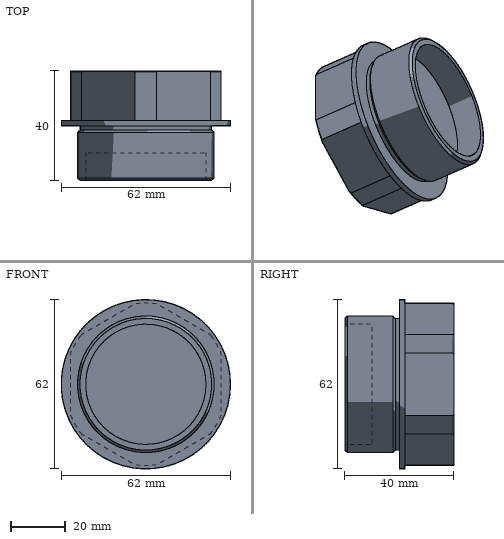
import cadquery as cq
import math


head_sides = 6
head_across_flats = 55.0
head_corner_diameter = 59.5
head_length = 18.0
head_corner_rounding = 0.5

flange_diameter = 62.0
flange_thickness = 2.0

spigot_diameter = 50.0
spigot_length = 20.0
neck_diameter = 48.16
neck_length = 1.5
bore_diameter = 44.0
bore_depth = 10.0

thread_depth = (spigot_diameter - neck_diameter) / 2


def revolve_profile(points):
    """Revolve a closed (radius, Y) outline around the Y axis."""
    return cq.Workplane("XY").polyline(points).close().revolve(360, (0, 0, 0), (0, 1, 0))


def make_head():
    """Hexagon with flats facing +X and -X and corners trimmed by a round-edged cylinder."""
    corner_radius = head_corner_diameter / 2
    hexagon_radius = head_across_flats / 2 / math.cos(math.pi / head_sides)
    vertices = []
    for index in range(head_sides):
        angle = math.pi / 2 + index * 2 * math.pi / head_sides
        vertices.append((hexagon_radius * math.cos(angle), hexagon_radius * math.sin(angle)))
    hexagon = (
        cq.Workplane("XZ", origin=(0, flange_thickness, 0))
        .polyline(vertices)
        .close()
        .extrude(-head_length)
    )
    corner_envelope = (
        cq.Workplane("XZ", origin=(0, flange_thickness, 0))
        .circle(corner_radius)
        .extrude(-head_length)
        .faces(">Y")
        .edges()
        .fillet(head_corner_rounding)
    )
    return hexagon.intersect(corner_envelope)


def make_flange_and_spigot():
    flange_radius = flange_diameter / 2
    spigot_radius = spigot_diameter / 2
    neck_radius = neck_diameter / 2
    return revolve_profile([
        (0, flange_thickness),
        (flange_radius, flange_thickness),
        (flange_radius, 0),
        (neck_radius, 0),
        (neck_radius, -neck_length),
        (spigot_radius, -neck_length - thread_depth),
        (spigot_radius, -spigot_length + thread_depth),
        (neck_radius, -spigot_length),
        (0, -spigot_length),
    ])


def make_bore():
    """Blind bore opening at the free end of the spigot."""
    return (
        cq.Workplane("XZ", origin=(0, -spigot_length, 0))
        .circle(bore_diameter / 2)
        .extrude(-bore_depth)
    )


result = make_head().union(make_flange_and_spigot()).cut(make_bore())